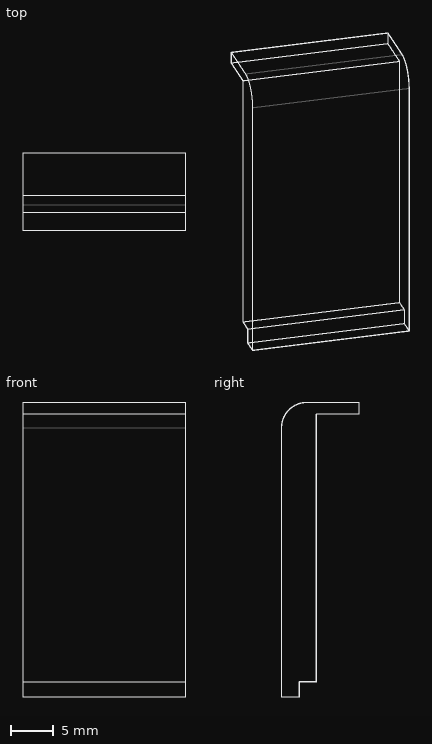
import cadquery as cq

width = 19.06
depth = 9.1
height = 34.5

wall_thickness = 4.1
lip_thickness = 1.4
corner_radius = 3.0
tongue_thickness = 2.1
tongue_height = 1.8


def make_panel():
    """Upright wall with a lip along the top and a thinner tongue at the bottom."""
    profile = (
        cq.Workplane("YZ")
        .moveTo(0, 0)
        .lineTo(tongue_thickness, 0)
        .lineTo(tongue_thickness, tongue_height)
        .lineTo(wall_thickness, tongue_height)
        .lineTo(wall_thickness, height - lip_thickness)
        .lineTo(depth, height - lip_thickness)
        .lineTo(depth, height)
        .lineTo(corner_radius, height)
        .radiusArc((0, height - corner_radius), -corner_radius)
        .close()
    )
    return profile.extrude(width / 2, both=True)


result = make_panel()